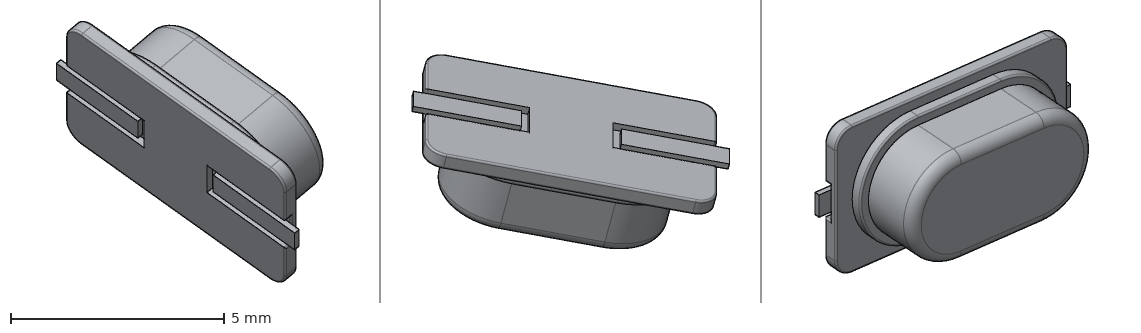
import cadquery as cq

overall_length = 7.6

flange_length = 7.0
flange_width = 4.1
flange_thickness = 0.4
flange_corner_radius = 0.5
edge_round = 0.05

lip_length = 6.005
lip_width = 3.5
lip_height = 0.3
can_length = 5.5
can_width = 3.0
can_height = 1.6
can_top_round = 0.3

lead_inner_x = 1.2
lead_length = overall_length / 2 - lead_inner_x
lead_width = 0.62
lead_thickness = 0.15

recess_inner_x = 1.0
recess_length = flange_length / 2 - recess_inner_x
recess_width = 1.0
recess_depth = 0.2

SIDES = (-1, 1)


def plane_at(y):
    """XZ plane at height y whose normal points along +Y, away from the mounting face."""
    return cq.Plane(origin=(0, y, 0), xDir=(1, 0, 0), normal=(0, 1, 0))


def make_strip(side, inner_x, length, width, thickness):
    """Rectangular strip that runs outward from inner_x and rises from the mounting face."""
    center_x = side * (inner_x + length / 2)
    return (
        cq.Workplane(plane_at(0))
        .center(center_x, 0)
        .rect(length, width)
        .extrude(thickness)
    )


def make_recessed_flange():
    """Flange with its recesses, rounded along both rims and around each recess mouth."""
    flange = (
        cq.Workplane(plane_at(0))
        .rect(flange_length, flange_width)
        .extrude(flange_thickness)
        .edges("|Y")
        .fillet(flange_corner_radius)
    )
    for side in SIDES:
        flange = flange.cut(make_strip(side, recess_inner_x, recess_length, recess_width, recess_depth))
    flange = flange.faces(">Y").edges().fillet(edge_round)

    long_rims = flange.faces("<Y").edges("<Z or >Z")
    return flange.faces("<X or >X").edges("not(|Y and (<Z or >Z))").add(long_rims).fillet(edge_round)


def make_round_ended_block(base_y, length, width, height, top_round):
    return (
        cq.Workplane(plane_at(base_y))
        .slot2D(length, width)
        .extrude(height)
        .faces(">Y")
        .edges()
        .fillet(top_round)
    )


def make_housing():
    lip_top = flange_thickness + lip_height
    lip = make_round_ended_block(flange_thickness, lip_length, lip_width, lip_height, edge_round)
    can = make_round_ended_block(lip_top, can_length, can_width, can_height, can_top_round)
    return make_recessed_flange().union(lip).union(can)


def make_lead(side):
    return make_strip(side, lead_inner_x, lead_length, lead_width, lead_thickness)


housing = make_housing()
leads = [make_lead(side) for side in SIDES]

result = cq.Compound.makeCompound([housing.val(), *[lead.val() for lead in leads]])